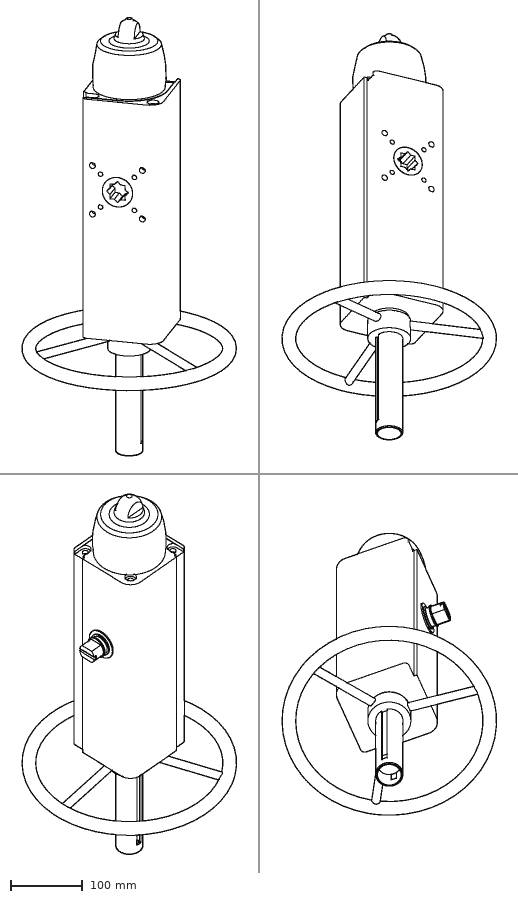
import cadquery as cq
import math

total_height = 646.0

housing_bottom = 187.0
housing_top = 544.0
near_side = 56.0
far_side = 61.5
corner_radius = 19.5
notch_start = 37.0
notch_face = 52.0
notch_corner_radius = 6.5

pad_reach = 55.5
pad_height = 0.5

screw_near = 39.0
screw_far = 48.0
screw_head_diameter = 16.0
screw_head_depth = 6.0
screw_socket_diameter = 8.5
screw_socket_depth = 11.5

dome_base_radius = 50.5
dome_belly_radius = 52.0
dome_belly_height = 21.0
dome_rim_radius = 45.0
dome_rim_height = 64.0
dome_flat_radius = 40.0
dome_height = 68.5
knob_base_radius = 28.1
knob_foot_radius = 21.0
knob_foot_z = 616.5
knob_waist_radius = 19.5
knob_waist_z = 622.0
knob_shoulder_radius = 13.5
knob_shoulder_z = 638.0
knob_tip_radius = 6.15
knob_tip_z = 643.5
knob_end_radius = 4.0
grip_half_width = 11.5

neck_radius = 28.1
neck_height = 4.5
hub_radius = 30.05
hub_bottom = 154.0
tube_radius = 19.05
tube_bore_radius = 16.5
tube_chamfer = 1.0
rod_end_z = 30.0
slot_width = 8.5
slot_bottom = 15.5

wheel_outer_radius = 150.0
rim_radius = 10.0
wheel_z = 154.0
spoke_radius = 6.15
spoke_hub_z = 176.0
spoke_end_gap = 2.5
spoke_count = 3
first_spoke_angle = 90.0
rim_seam_angle = 30.0

pinion_z = 409.0
pinion_radius = 22.0
pinion_recess = 0.5
star_square = 22.0
star_depth = 26.0
flange_end = 58.0
step_radius = 16.5
step_end = 60.0
stem_radius = 13.9
collar_radius = 15.5
collar_start = 66.0
collar_end = 68.0
stem_end = 86.5
stem_across_flats = 20.5
stem_slot_width = 4.0
stem_slot_depth = 4.5

outer_mount_offset = 36.0
outer_mount_diameter = 8.5
inner_mount_offset = 24.5
inner_mount_diameter = 6.5
mount_depth = 13.0
drill_tip_ratio = math.tan(math.radians(31))


def disc(radius, bottom, top):
    return cq.Workplane("XY").workplane(offset=bottom).circle(radius).extrude(top - bottom)


def y_disc(radius, start, end):
    """Cylinder on the pinion axis from Y = start to Y = end."""
    plane = cq.Plane(origin=(0, start, pinion_z), xDir=(1, 0, 0), normal=(0, 1, 0))
    return cq.Workplane(plane).circle(radius).extrude(end - start)


def housing_block():
    height = housing_top - housing_bottom
    block = (
        cq.Workplane("XY")
        .workplane(offset=housing_bottom)
        .polyline([
            (-near_side, near_side),
            (notch_start, near_side),
            (notch_start, notch_face),
            (far_side, notch_face),
            (far_side, -far_side),
            (-notch_face, -far_side),
            (-notch_face, -notch_start),
            (-near_side, -notch_start),
        ])
        .close()
        .extrude(height)
    )
    fillets = [
        (-near_side, near_side, corner_radius),
        (far_side, -far_side, corner_radius),
        (far_side, notch_face, notch_corner_radius),
        (-notch_face, -far_side, notch_corner_radius),
    ]
    for x, y, radius in fillets:
        corner = cq.selectors.NearestToPointSelector((x, y, (housing_bottom + housing_top) / 2))
        block = block.edges(corner).fillet(radius)
    return block


def lowered_rim():
    """Thin layer to remove around the raised pad."""
    arc_middle = pad_reach * math.sqrt(0.5)
    pad = (
        cq.Workplane("XY")
        .workplane(offset=housing_top - pad_height)
        .moveTo(-far_side, far_side)
        .lineTo(pad_reach, far_side)
        .lineTo(pad_reach, 0)
        .threePointArc((arc_middle, -arc_middle), (0, -pad_reach))
        .lineTo(-far_side, -pad_reach)
        .close()
        .extrude(pad_height)
    )
    layer = (
        cq.Workplane("XY")
        .workplane(offset=housing_top - pad_height)
        .rect(2 * far_side, 2 * far_side)
        .extrude(pad_height)
    )
    return layer.cut(pad)


def screw_pockets():
    """Counterbored screw holes; the two in the notched corners open sideways into the notch."""
    places = [(x, y) for x in (-screw_near, screw_far) for y in (screw_near, -screw_far)]
    top = cq.Workplane("XY").workplane(offset=housing_top).pushPoints(places)
    pockets = top.circle(screw_head_diameter / 2).extrude(-screw_head_depth)
    pockets = pockets.union(top.circle(screw_socket_diameter / 2).extrude(-screw_socket_depth))
    opening = cq.Workplane("XY").workplane(offset=housing_top)
    opening_length = 2 * notch_corner_radius
    beside_x = opening.center(-screw_near - opening_length / 2, -screw_far)
    pockets = pockets.union(beside_x.rect(opening_length, screw_head_diameter).extrude(-screw_head_depth))
    opening = cq.Workplane("XY").workplane(offset=housing_top)
    beside_y = opening.center(screw_far, screw_near + opening_length / 2)
    pockets = pockets.union(beside_y.rect(screw_head_diameter, opening_length).extrude(-screw_head_depth))
    return pockets


def mounting_holes():
    holes = cq.Workplane("XY")
    patterns = [
        (outer_mount_offset, outer_mount_diameter / 2),
        (inner_mount_offset, inner_mount_diameter / 2),
    ]
    for offset, radius in patterns:
        drill = [
            (0, -far_side),
            (radius, -far_side),
            (radius, mount_depth - far_side),
            (0, mount_depth + radius * drill_tip_ratio - far_side),
        ]
        hole = cq.Workplane("XY").polyline(drill).close().revolve(360, (0, 0), (0, 1))
        for x in (-offset, offset):
            for z in (-offset, offset):
                holes = holes.union(hole.translate((x, 0, pinion_z + z)))
    return holes


def dome():
    rim_z = housing_top + dome_rim_height
    top = housing_top + dome_height
    return (
        cq.Workplane("XZ")
        .moveTo(0, housing_top)
        .lineTo(dome_base_radius, housing_top)
        .threePointArc((dome_belly_radius, housing_top + dome_belly_height), (dome_rim_radius, rim_z))
        .lineTo(dome_flat_radius, top)
        .lineTo(0, top)
        .close()
        .revolve(360, (0, 0), (0, 1))
    )


def knob():
    """Tapered knob with two flats that leave a narrow grip across X."""
    base = housing_top + dome_height
    body = (
        cq.Workplane("XZ")
        .moveTo(0, base)
        .lineTo(knob_base_radius, base)
        .lineTo(knob_foot_radius, knob_foot_z)
        .lineTo(knob_waist_radius, knob_waist_z)
        .threePointArc((knob_shoulder_radius, knob_shoulder_z), (knob_tip_radius, knob_tip_z))
        .lineTo(knob_end_radius, total_height)
        .lineTo(0, total_height)
        .close()
        .revolve(360, (0, 0), (0, 1))
    )
    grip_height = total_height - knob_waist_z
    for side in (-1, 1):
        flat = cq.Workplane("XY").box(
            knob_base_radius, 2 * knob_base_radius, grip_height, centered=(True, True, False)
        )
        body = body.cut(flat.translate((side * (grip_half_width + knob_base_radius / 2), 0, knob_waist_z)))
    return body


def guide_tube():
    tube = disc(tube_radius, 0, housing_bottom).faces("<Z").chamfer(tube_chamfer)
    tube = tube.cut(disc(tube_bore_radius, 0, rod_end_z))
    slot = cq.Workplane("XY").box(
        2 * tube_radius, slot_width, hub_bottom - slot_bottom, centered=(True, True, False)
    ).translate((0, 0, slot_bottom))
    core = disc(tube_bore_radius, rod_end_z, hub_bottom)
    tube = tube.cut(slot.cut(core))
    neck = disc(neck_radius, housing_bottom - neck_height, housing_bottom)
    return tube.union(neck)


def spoke():
    """Sloping round bar above the X axis, from inside the hub to inside the rim."""
    inner = cq.Vector(tube_radius, 0, spoke_hub_z)
    outer = cq.Vector(wheel_outer_radius - rim_radius - spoke_end_gap, 0, wheel_z)
    along = outer - inner
    return cq.Workplane(cq.Plane(origin=inner, normal=along)).circle(spoke_radius).extrude(along.Length)


def handwheel():
    ring_radius = wheel_outer_radius - rim_radius
    rim = (
        cq.Workplane("XZ")
        .center(ring_radius, wheel_z)
        .circle(rim_radius)
        .revolve(360, (-ring_radius, 0), (-ring_radius, 1))
        .rotate((0, 0, 0), (0, 0, 1), rim_seam_angle)
    )
    hub = disc(hub_radius, hub_bottom, housing_bottom - neck_height)
    spokes = cq.Workplane("XY")
    for i in range(spoke_count):
        angle = first_spoke_angle + i * 360 / spoke_count
        spokes = spokes.union(spoke().rotate((0, 0, 0), (0, 0, 1), angle))
    return hub.union(spokes).union(rim)


def make_housing():
    body = housing_block().cut(lowered_rim()).cut(screw_pockets())
    body = body.union(dome()).union(knob())
    body = body.cut(mounting_holes()).cut(y_disc(pinion_radius, -far_side, far_side))
    return body.union(guide_tube()).union(handwheel())


def make_pinion():
    start = pinion_recess - far_side
    shaft = y_disc(pinion_radius, start, flange_end)
    shaft = shaft.union(y_disc(step_radius, flange_end, step_end))
    shaft = shaft.union(y_disc(collar_radius, collar_start, collar_end))
    stem = y_disc(stem_radius, step_end, stem_end)
    flats = cq.Workplane("XY").box(
        2 * stem_radius, stem_end - collar_end, stem_across_flats, centered=(True, False, True)
    ).translate((0, collar_end, pinion_z))
    stem = stem.intersect(flats.union(y_disc(stem_radius, step_end, collar_end)))
    shaft = shaft.union(stem)

    driver_slot = cq.Workplane("XY").box(
        2 * stem_radius, stem_slot_depth, stem_slot_width, centered=(True, False, True)
    ).translate((0, stem_end - stem_slot_depth, pinion_z))
    shaft = shaft.cut(driver_slot)

    for turn in (0, 45):
        square = (
            cq.Workplane("XY")
            .box(star_square, star_depth, star_square, centered=(True, False, True))
            .rotate((0, 0, 0), (0, 1, 0), turn)
        )
        shaft = shaft.cut(square.translate((0, start, pinion_z)))
    return shaft


housing = make_housing()
pinion = make_pinion()
result = cq.Compound.makeCompound([housing.val(), pinion.val()])